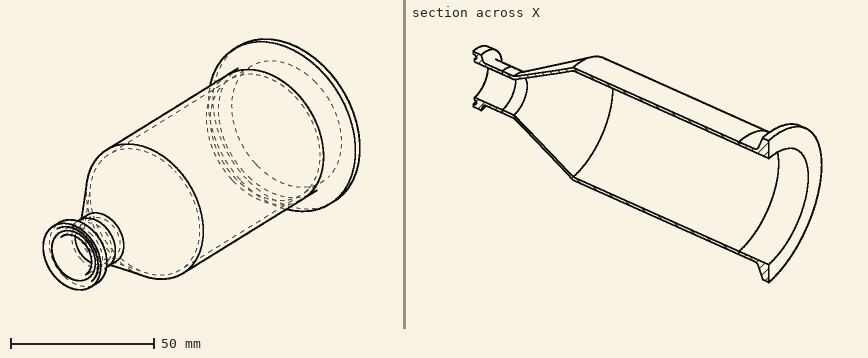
import cadquery as cq
import math

total_length = 127.0
ferrule_length = 12.7
wall = 1.7
clamp_angle = 20.0

small_tube_radius = 9.5
small_flange_radius = 12.51
small_rim_width = 3.5
small_fillet = 0.6

large_tube_radius = 25.4
large_flange_radius = 31.9
large_rim_width = 2.7
large_fillet = 1.5

small_neck_length = 5.0
cone_length = 25.4

groove_outer_radius = 11.5
groove_inner_radius = 9.4
groove_depth = 1.4
land_recess = 0.5
edge_round = 0.5



def revolve_about_y(profile):
    """Turn a closed profile (radius, Y) into a solid about the Y axis."""
    return profile.close().revolve(360, (0, 0, 0), (0, 1, 0))


def make_ferrule(tube_radius, flange_radius, rim_width, fillet):
    """Clamp ferrule with its end face at Y = 0 and its tube toward +Y."""
    slope = math.radians(clamp_angle)
    bore_radius = tube_radius - wall
    corner_y = rim_width + (flange_radius - tube_radius) * math.tan(slope)
    tangent_length = fillet * math.tan((math.pi / 2 - slope) / 2)
    cone_end = (
        tube_radius + tangent_length * math.cos(slope),
        corner_y - tangent_length * math.sin(slope),
    )
    fillet_end = (tube_radius, corner_y + tangent_length)
    bisector = math.pi + (math.pi / 2 - slope) / 2
    fillet_middle = (
        tube_radius + fillet + fillet * math.cos(bisector),
        fillet_end[1] + fillet * math.sin(bisector),
    )
    profile = (
        cq.Workplane("XY")
        .moveTo(bore_radius, 0)
        .lineTo(flange_radius, 0)
        .lineTo(flange_radius, rim_width)
        .lineTo(*cone_end)
        .threePointArc(fillet_middle, fillet_end)
        .lineTo(tube_radius, ferrule_length)
        .lineTo(bore_radius, ferrule_length)
    )
    return revolve_about_y(profile)


def make_face_recess():
    """Cutter that leaves the gasket groove, the recessed land and their rounded edges."""
    bore_radius = small_tube_radius - wall
    arc_inset = edge_round * (1 - math.sqrt(0.5))
    lip_radius = groove_outer_radius - edge_round
    floor_middle = ((lip_radius + groove_inner_radius) / 2, groove_depth)
    land_round_y = land_recess + edge_round
    profile = (
        cq.Workplane("XY")
        .moveTo(groove_outer_radius, 0)
        .threePointArc((lip_radius + arc_inset, arc_inset), (lip_radius, edge_round))
        .threePointArc(floor_middle, (groove_inner_radius, land_round_y))
        .threePointArc(
            (groove_inner_radius - arc_inset, land_recess + arc_inset),
            (groove_inner_radius - edge_round, land_recess),
        )
        .lineTo(bore_radius + edge_round, land_recess)
        .threePointArc(
            (bore_radius + arc_inset, land_recess + arc_inset),
            (bore_radius, land_round_y),
        )
        .lineTo(bore_radius, 0)
    )
    return revolve_about_y(profile)


def make_small_ferrule():
    ferrule = make_ferrule(small_tube_radius, small_flange_radius, small_rim_width, small_fillet)
    return ferrule.cut(make_face_recess())


def make_large_ferrule():
    ferrule = make_ferrule(large_tube_radius, large_flange_radius, large_rim_width, large_fillet)
    return ferrule.rotate((0, 0, 0), (0, 0, 1), 180).translate((0, total_length, 0))


def make_reducer():
    """Tube of even radial wall: small neck, cone and long large barrel."""
    start_y = ferrule_length
    cone_start_y = start_y + small_neck_length
    cone_end_y = cone_start_y + cone_length
    end_y = total_length - ferrule_length
    small_bore_radius = small_tube_radius - wall
    large_bore_radius = large_tube_radius - wall
    profile = (
        cq.Workplane("XY")
        .moveTo(small_tube_radius, start_y)
        .lineTo(small_tube_radius, cone_start_y)
        .lineTo(large_tube_radius, cone_end_y)
        .lineTo(large_tube_radius, end_y)
        .lineTo(large_bore_radius, end_y)
        .lineTo(large_bore_radius, cone_end_y)
        .lineTo(small_bore_radius, cone_start_y)
        .lineTo(small_bore_radius, start_y)
    )
    return revolve_about_y(profile)


small_ferrule = make_small_ferrule()
reducer = make_reducer()
large_ferrule = make_large_ferrule()

result = cq.Compound.makeCompound([small_ferrule.val(), reducer.val(), large_ferrule.val()])